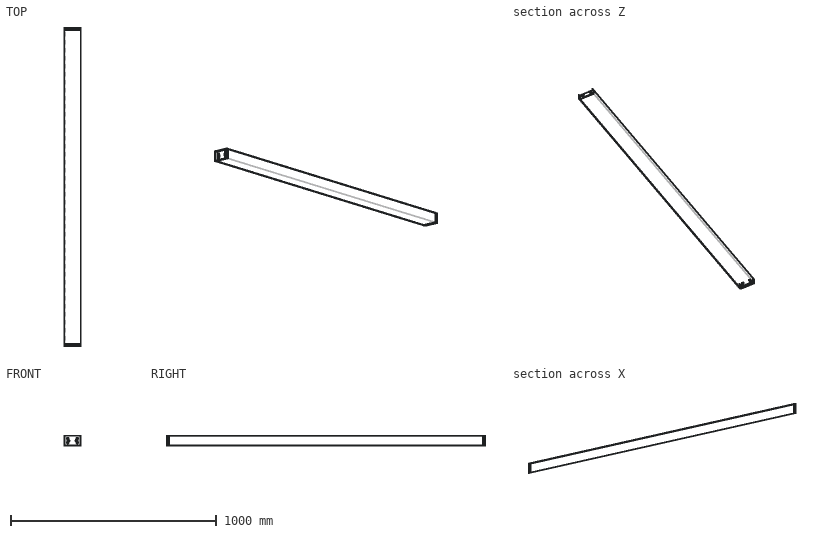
import cadquery as cq

LENGTH = 1550.0
WIDTH = 80.0
HEIGHT = 50.0
WALL = 2.0
OUTER_RADIUS = 2.0
INNER_RADIUS = 1.0
INNER_WIDTH = WIDTH - 2 * WALL
INNER_HEIGHT = HEIGHT - 2 * WALL

PLATE_RECESS = 6.7
PLATE_THICKNESS = 5.5
PLATE_OFFSET = LENGTH / 2 - PLATE_RECESS - PLATE_THICKNESS / 2

CENTRE_HOLE_DIAMETER = 9.0
CENTRE_HOLE_X = 20.0
SIDE_HOLE_DIAMETER = 6.7
SIDE_HOLE_X = 23.0
SIDE_HOLE_Z = 10.0


def rounded_bar(width, height, length, radius):
    """A rectangular bar along Y, centred on the origin, with its long edges rounded."""
    bar = cq.Workplane("XY").box(width, length, height)
    return bar.edges("|Y").fillet(radius)


def make_tube():
    outside = rounded_bar(WIDTH, HEIGHT, LENGTH, OUTER_RADIUS)
    bore = rounded_bar(INNER_WIDTH, INNER_HEIGHT, LENGTH, INNER_RADIUS)
    return outside.cut(bore)


def plate_holes(points, diameter):
    """Cylinders along Y that pass right through a plate centred on the origin."""
    circles = cq.Workplane("XZ").pushPoints(points).circle(diameter / 2)
    return circles.extrude(PLATE_THICKNESS, both=True)


def make_end_plate(y):
    """A plate that fills the tube's bore, centred at the given Y."""
    centre_points = [(side * CENTRE_HOLE_X, 0) for side in (-1, 1)]
    side_points = [(side * SIDE_HOLE_X, end * SIDE_HOLE_Z) for side in (-1, 1) for end in (-1, 1)]
    plate = rounded_bar(INNER_WIDTH, INNER_HEIGHT, PLATE_THICKNESS, INNER_RADIUS)
    plate = plate.cut(plate_holes(centre_points, CENTRE_HOLE_DIAMETER))
    plate = plate.cut(plate_holes(side_points, SIDE_HOLE_DIAMETER))
    return plate.translate((0, y, 0))


tube = make_tube()
end_plates = [make_end_plate(side * PLATE_OFFSET) for side in (-1, 1)]

result = cq.Compound.makeCompound([tube.val(), *[plate.val() for plate in end_plates]])